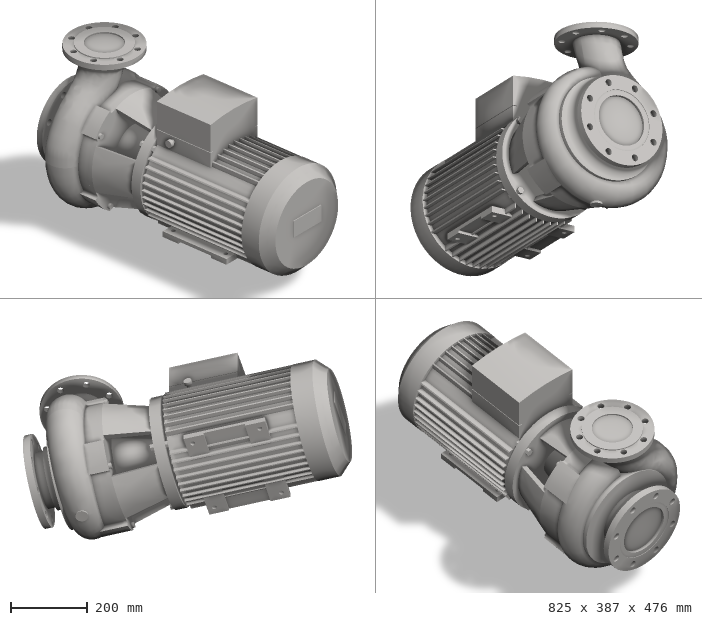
import cadquery as cq
import math


suction_flange_diameter = 250.0
suction_flange_thickness = 19.0
suction_face_recess_diameter = 170.0
suction_face_recess_depth = 2.0
suction_bore_diameter = 139.5
suction_bore_depth = 10.0
suction_bolt_circle_radius = 106.0
suction_bolt_hole_diameter = 19.0
suction_neck_diameter = 152.0
suction_collar_diameter = 170.0
suction_collar_start = 43.0

front_cover_diameter = 285.5
front_cover_start = 63.0
front_cover_rim_start = 68.0
casing_end = 210.0
casing_flange_diameter = 330.0

scroll_plane = 125.0
scroll_center_y = -16.5
scroll_outer_radius = 193.0
scroll_start_tube_radius = 43.0
scroll_end_tube_radius = 52.0
scroll_start_angle = 80
scroll_sweep_angle = 260
scroll_section_count = 12
drain_boss_diameter = 33.0
drain_boss_bottom = -195.5

outlet_face = 280.5
outlet_raised_face_diameter = 160.0
outlet_raised_face_height = 3.0
outlet_flange_diameter = 220.0
outlet_flange_thickness = 16.5
outlet_neck_radius = 63.0
outlet_bore_diameter = 107.0
outlet_bore_depth = 4.0
outlet_bolt_circle_radius = 91.0
outlet_bolt_hole_diameter = 18.0
flange_hole_count = 8

lug_count = 4
lug_diameter = 355.0
lug_angle = 27
lug_root_fillet = 7.5

bracket_flange_thickness = 14.0
bracket_flange_back = casing_end + bracket_flange_thickness
motor_flange_start = 348.0
motor_flange_thickness = 30.5
motor_flange_back = motor_flange_start + motor_flange_thickness
motor_flange_diameter = 300.0
leg_angle = 50
leg_wide_outer_radius = casing_flange_diameter / 2
leg_wide_inner_radius = 144.0
leg_narrow_outer_radius = 130.0
leg_narrow_inner_radius = 112.0
hub_wide_diameter = 139.5
hub_narrow_diameter = 80.0
screw_head_diameter = 16.0
screw_head_height = 7.5
screw_y = -134.0
screw_z = 95.0

bolt_offset = 99.0
bolt_shank_diameter = 10.0
bolt_hex_diameter = 19.0
bolt_head_height = 10.0
motor_start = 386.0
bolt_nut_height = motor_start - motor_flange_back

motor_spigot_diameter = 232.0
motor_core_radius = 143.5
cowl_radius = 156.0
fin_tip_radius = 155.0
fin_end = 732.0
fin_thickness = 3.0
fin_pitch = 21.5
fins_each_side = 4
fin_root = 99.0
cowl_chamfer_start = 791.0
cowl_end = 822.5
cowl_end_radius = 125.0
end_plate_width = 110.5
end_plate_height = 49.5
end_plate_center_z = 7.5
overall_length = 825.0

foot_start = 436.0
foot_end = 655.0
foot_half_width = 127.0
foot_top = -115.5
foot_bottom = -133.0
foot_relief_height = 7.5
foot_pad_length = 54.0
foot_hole_diameter = 12.0
foot_hole_inset = 19.0
foot_hole_y = 107.0

box_length = 186.0
box_width = 186.5
box_bottom = 113.0
box_joint = 160.0
lid_edge_z = 243.0
lid_crown_z = 252.0
joint_groove_depth = 10.0
joint_groove_height = 2.0
gland_z = 143.0
gland_x = 441.0
plug_x = 516.5
gland_head_diameter = 21.5
plug_diameter = 20.0
gland_neck_diameter = 13.0
gland_neck_length = 8.0
gland_head_length = 10.0
seat_depth = 8.0


def x_cylinder(start, end, diameter, y=0, z=0):
    """A cylinder along X between two stations."""
    return cq.Workplane("YZ", origin=(start, 0, 0)).center(y, z).circle(diameter / 2).extrude(end - start)


def y_cylinder(x, diameter, start, end):
    """A cylinder standing out toward -Y, its ends measured from the front wall of the box base."""
    wall_y = -box_width / 2
    return cq.Workplane("XZ", origin=(x, wall_y - start, gland_z)).circle(diameter / 2).extrude(end - start)


def revolve_about_x(profile, angle=360):
    """Turn a list of (x, radius) points about the shaft axis, starting at +Z."""
    return cq.Workplane("XZ").polyline(profile).close().revolve(angle, (0, 0, 0), (1, 0, 0))


class LugRootSelector(cq.Selector):
    """Picks the edges along X where the lug sides rise from the round flange."""

    def filter(self, edges):
        flange_radius = casing_flange_diameter / 2
        roots = []
        for edge in edges:
            middle = edge.Center()
            on_rim = math.isclose(math.hypot(middle.y, middle.z), flange_radius, rel_tol=1e-4)
            if edge.geomType() == "LINE" and on_rim:
                roots.append(edge)
        return roots


def flange_with_lugs(start, end):
    """Round flange with four lugs on the diagonals."""
    flange = x_cylinder(start, end, casing_flange_diameter)
    root_radius = casing_flange_diameter / 4
    lug_profile = [
        (start, root_radius),
        (end, root_radius),
        (end, lug_diameter / 2),
        (start, lug_diameter / 2),
    ]
    for index in range(lug_count):
        angle = 45 + index * 360 / lug_count - lug_angle / 2
        lug = revolve_about_x(lug_profile, lug_angle).rotate((0, 0, 0), (1, 0, 0), angle)
        flange = flange.union(lug)
    return flange.edges(LugRootSelector()).fillet(lug_root_fillet)


def scroll_section(angle, tube_radius):
    """Round section of the volute at an angle measured from +Y toward +Z."""
    turn = math.radians(angle)
    reach = scroll_outer_radius - tube_radius
    plane = cq.Plane(
        origin=(scroll_plane, scroll_center_y + reach * math.cos(turn), reach * math.sin(turn)),
        xDir=(1, 0, 0),
        normal=(0, math.sin(turn), -math.cos(turn)),
    )
    return cq.Workplane(plane).circle(tube_radius).wire().val()


def make_scroll():
    """Volute that grows from its tongue, round the casing, to the start of the discharge pipe."""
    sections = []
    for index in range(scroll_section_count + 1):
        share = index / scroll_section_count
        radius = scroll_start_tube_radius + share * (scroll_end_tube_radius - scroll_start_tube_radius)
        sections.append(scroll_section(scroll_start_angle - share * scroll_sweep_angle, radius))
    return cq.Workplane(cq.Solid.makeLoft(sections))


def make_discharge():
    """Pipe that leaves the scroll at -Y and bends up to the outlet flange."""
    flange_bottom = outlet_face - outlet_raised_face_height - outlet_flange_thickness
    start_y = scroll_center_y - scroll_outer_radius + scroll_end_tube_radius
    stations = [
        (start_y, 0, 0, 1, scroll_end_tube_radius),
        (-147.0, 53.0, 0.37, 0.93, 53.0),
        (-115.5, 97.0, 0.69, 0.72, 54.5),
        (-64.0, 140.0, 0.70, 0.71, 57.0),
        (-20.0, 198.0, 0.32, 0.95, 58.5),
        (0, flange_bottom, 0, 1, outlet_neck_radius),
    ]
    sections = []
    for y, z, direction_y, direction_z, radius in stations:
        plane = cq.Plane(origin=(scroll_plane, y, z), xDir=(1, 0, 0), normal=(0, direction_y, direction_z))
        sections.append(cq.Workplane(plane).circle(radius).wire().val())
    return cq.Workplane(cq.Solid.makeLoft(sections))


def make_outlet_flange():
    """Discharge flange with a raised face, a shallow bore and a ring of holes."""
    raised_face_bottom = outlet_face - outlet_raised_face_height
    flange_bottom = raised_face_bottom - outlet_flange_thickness
    return (
        cq.Workplane("XY", origin=(scroll_plane, 0, flange_bottom))
        .circle(outlet_flange_diameter / 2)
        .extrude(outlet_flange_thickness)
        .faces(">Z").workplane()
        .circle(outlet_raised_face_diameter / 2)
        .extrude(outlet_raised_face_height)
        .faces(">Z").workplane()
        .hole(outlet_bore_diameter, outlet_bore_depth)
        .faces("<Z").workplane()
        .polarArray(outlet_bolt_circle_radius, 180 / flange_hole_count, 360, flange_hole_count)
        .hole(outlet_bolt_hole_diameter)
    )


def make_suction():
    """Suction flange, its neck and the collar on the front cover."""
    flange = (
        x_cylinder(0, suction_flange_thickness, suction_flange_diameter)
        .faces("<X").workplane()
        .polarArray(suction_bolt_circle_radius, 180 / flange_hole_count, 360, flange_hole_count)
        .hole(suction_bolt_hole_diameter)
        .cut(x_cylinder(0, suction_face_recess_depth, suction_face_recess_diameter))
        .cut(x_cylinder(0, suction_bore_depth, suction_bore_diameter))
    )
    neck = x_cylinder(suction_flange_thickness, suction_collar_start, suction_neck_diameter)
    collar = x_cylinder(suction_collar_start, front_cover_start, suction_collar_diameter)
    return flange.union(neck).union(collar)


def make_casing():
    """Pump casing: front cover, scroll, both pipe connections, rear flange and drain boss."""
    cover = revolve_about_x([
        (front_cover_start, 0),
        (front_cover_start, suction_collar_diameter / 2),
        (front_cover_rim_start, front_cover_diameter / 2),
        (scroll_plane, front_cover_diameter / 2),
        (scroll_plane, 0),
    ])
    drain_boss = (
        cq.Workplane("XY", origin=(scroll_plane, 0, drain_boss_bottom))
        .circle(drain_boss_diameter / 2)
        .extrude(scroll_end_tube_radius)
    )
    return (
        cover.union(make_suction())
        .union(flange_with_lugs(scroll_plane, casing_end))
        .union(make_scroll())
        .union(make_discharge())
        .union(make_outlet_flange())
        .union(drain_boss)
    )


def make_bracket():
    """Bracket with four legs, a tapered hub, screw heads and the motor flange."""
    bracket = flange_with_lugs(casing_end, bracket_flange_back)
    bracket = bracket.union(x_cylinder(motor_flange_start, motor_flange_back, motor_flange_diameter))
    hub = revolve_about_x([
        (bracket_flange_back, 0),
        (bracket_flange_back, hub_wide_diameter / 2),
        (motor_flange_start, hub_narrow_diameter / 2),
        (motor_flange_start, 0),
    ])
    bracket = bracket.union(hub)

    leg_profile = [
        (bracket_flange_back, leg_wide_inner_radius),
        (bracket_flange_back, leg_wide_outer_radius),
        (motor_flange_start, leg_narrow_outer_radius),
        (motor_flange_start, leg_narrow_inner_radius),
    ]
    head = x_cylinder(
        bracket_flange_back, bracket_flange_back + screw_head_height, screw_head_diameter, screw_y, screw_z
    )
    for index in range(lug_count):
        quarter = index * 360 / lug_count
        leg = revolve_about_x(leg_profile, leg_angle).rotate((0, 0, 0), (1, 0, 0), quarter - leg_angle / 2)
        bracket = bracket.union(leg).union(head.rotate((0, 0, 0), (1, 0, 0), quarter))
    for y, z in bolt_places:
        bracket = bracket.cut(x_cylinder(motor_flange_start, motor_flange_back, bolt_shank_diameter, y, z))
    return bracket


def make_bolt(y, z):
    """Hexagon bolt with its nut, through the motor flange."""
    head_start = motor_flange_start - bolt_head_height
    head = (
        cq.Workplane("YZ", origin=(head_start, y, z))
        .polygon(6, bolt_hex_diameter).extrude(bolt_head_height)
    )
    nut = (
        cq.Workplane("YZ", origin=(motor_flange_back, y, z))
        .polygon(6, bolt_hex_diameter).extrude(bolt_nut_height)
    )
    return head.union(x_cylinder(motor_flange_start, motor_flange_back, bolt_shank_diameter, y, z)).union(nut)


def make_fins():
    """Thin fins in four groups that point up, down and sideways and leave the diagonals bare."""
    fin_group = cq.Workplane("XY")
    for step in range(-fins_each_side, fins_each_side + 1):
        fin = cq.Workplane("XY", origin=(motor_start, step * fin_pitch, fin_root)).box(
            fin_end - motor_start, fin_thickness, fin_tip_radius - fin_root, centered=(False, True, False)
        )
        fin_group = fin_group.add(fin)
    fin_group = fin_group.combine().intersect(x_cylinder(motor_start, fin_end, 2 * fin_tip_radius))
    fins = fin_group
    for quarter in range(1, 4):
        fins = fins.add(fin_group.rotate((0, 0, 0), (1, 0, 0), quarter * 90))
    return fins.combine()


def make_feet():
    """Foot plate relieved between its pads, and the drill pattern that goes through it."""
    length = foot_end - foot_start
    middle = (foot_start + foot_end) / 2
    plate = cq.Workplane("XY").box(
        length, 2 * foot_half_width, foot_top - foot_bottom, centered=(True, True, False)
    ).translate((middle, 0, foot_bottom))
    relief = cq.Workplane("XY").box(
        length - 2 * foot_pad_length, 2 * foot_half_width, foot_relief_height, centered=(True, True, False)
    ).translate((middle, 0, foot_bottom))
    holes = (
        cq.Workplane("XY", origin=(middle, 0, foot_bottom))
        .rect(length - 2 * foot_hole_inset, 2 * foot_hole_y, forConstruction=True)
        .vertices().circle(foot_hole_diameter / 2).extrude(foot_top - foot_bottom)
    )
    return plate.cut(relief), holes


def make_box_base():
    """Lower part of the terminal box, with a groove below the lid along both long sides."""
    base = cq.Workplane("XY", origin=(motor_start, 0, box_bottom)).box(
        box_length, box_width, box_joint - box_bottom, centered=(False, True, False)
    )
    half_width = box_width / 2
    for y in (-half_width, half_width):
        groove = cq.Workplane("XY", origin=(motor_start, y, box_joint - joint_groove_height)).box(
            box_length, 2 * joint_groove_depth, joint_groove_height, centered=(False, True, False)
        )
        base = base.cut(groove)
    return base


def make_motor():
    """Motor with fins, fan cowl, feet and the lower part of the terminal box."""
    core = revolve_about_x([
        (motor_flange_back, 0),
        (motor_flange_back, motor_spigot_diameter / 2),
        (motor_start, motor_spigot_diameter / 2),
        (motor_start, motor_core_radius),
        (fin_end, motor_core_radius),
        (fin_end, cowl_radius),
        (cowl_chamfer_start, cowl_radius),
        (cowl_end, cowl_end_radius),
        (cowl_end, 0),
    ])
    end_plate = cq.Workplane("XY").box(
        overall_length - cowl_end, end_plate_width, end_plate_height, centered=(False, True, True)
    ).translate((cowl_end, 0, end_plate_center_z))
    feet, foot_holes = make_feet()
    box_base = make_box_base()
    motor = core.union(make_fins()).union(feet).cut(foot_holes).union(box_base).union(end_plate)
    gland_seat = y_cylinder(gland_x, gland_neck_diameter, -seat_depth, 0)
    plug_seat = y_cylinder(plug_x, plug_diameter, -seat_depth, 0)
    return motor.cut(gland_seat).cut(plug_seat)


def make_gland():
    """Cable gland seated in the wall of the box base."""
    neck = y_cylinder(gland_x, gland_neck_diameter, -seat_depth, gland_neck_length)
    head = y_cylinder(gland_x, gland_head_diameter, gland_neck_length, gland_neck_length + gland_head_length)
    return neck.union(head)


def make_plug():
    """Blanking plug flush with the wall of the box base."""
    return y_cylinder(plug_x, plug_diameter, -seat_depth, 0)


def make_lid():
    """Terminal box lid with a slightly crowned top."""
    half_width = box_width / 2
    return (
        cq.Workplane("YZ", origin=(motor_start, 0, 0))
        .moveTo(-half_width, box_joint)
        .lineTo(half_width, box_joint)
        .lineTo(half_width, lid_edge_z)
        .threePointArc((0, lid_crown_z), (-half_width, lid_edge_z))
        .close()
        .extrude(box_length)
    )


bolt_places = [(y, z) for y in (-bolt_offset, bolt_offset) for z in (-bolt_offset, bolt_offset)]

casing = make_casing()
bracket = make_bracket()
motor = make_motor()
lid = make_lid()
gland = make_gland()
plug = make_plug()
bolts = [make_bolt(y, z).val() for y, z in bolt_places]

result = cq.Compound.makeCompound(
    [casing.val(), bracket.val(), motor.val(), lid.val(), gland.val(), plug.val(), *bolts]
)